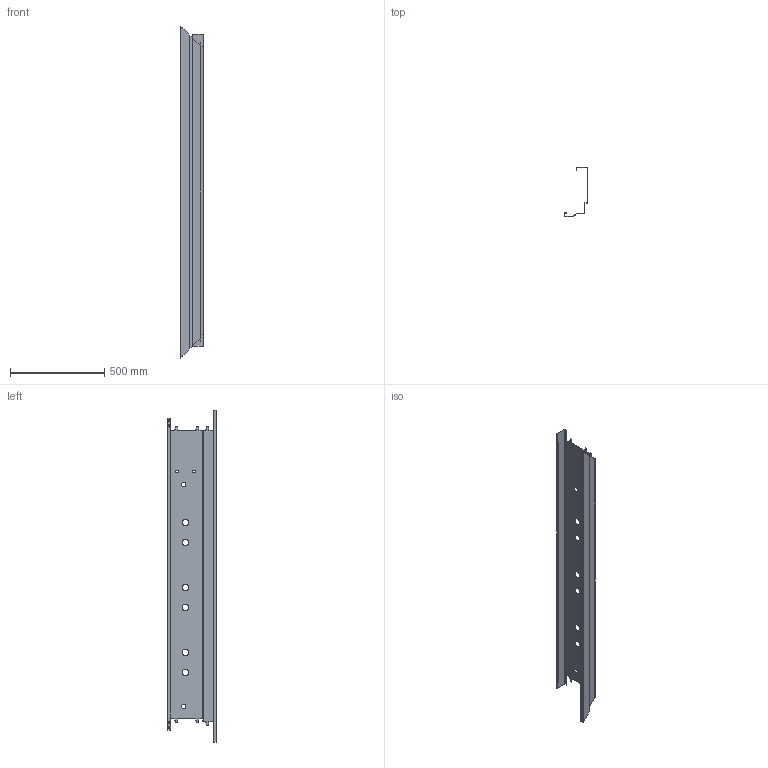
import cadquery as cq
import math

WIDTH = 123.43
DEPTH = 259.28
HEIGHT = 1763.2
SHEET = 0.6
INNER_BEND = 1.5
OUTER_BEND = INNER_BEND + SHEET

HEM_Y = 17.0
HEM_WIDTH = 13.0
BEVEL_ANGLE = math.radians(45)
FACE_WIDTH = 49.0
REBATE_Y = 15.0
BEVEL_END_X = FACE_WIDTH + REBATE_Y / math.tan(BEVEL_ANGLE)
REBATE_X = 108.0
STEP_Y = 71.5
REAR_X = 63.4
REAR_LIP_DEPTH = 16.0

TOP_Z = HEIGHT / 2
HEM_END_Z = TOP_Z - 7.0
REBATE_END_Z = TOP_Z - REBATE_X
WEB_TOP_Z = REBATE_END_Z
WEB_BOTTOM_Z = -(TOP_Z - WIDTH)
REAR_TOP_Z = 839.0
REAR_BOTTOM_Z = -(TOP_Z - REAR_X)
LIP_SETBACK = 48.0

STRIP_HOLE_DIAMETER = 8.0
STRIP_HOLE_SETBACKS = (13.5, 40.0)
STRIP_HOLE_Y = DEPTH - REAR_LIP_DEPTH / 2

TAB_LENGTH = 22.0
TAB_WIDTH = 11.0
TAB_SHOULDER = 2.5
TAB_BASE_LENGTH = 7.0
WEB_TAB_YS = (213.0, 100.5)
REBATE_TAB_Y = 47.5

LARGE_HOLE_DIAMETER = 34.0
LARGE_HOLE_Y = 164.5
PAIR_COUNT = 3
TOP_PAIR_Z = 231.0
PAIR_PITCH = 345.0
PAIR_SPACING = 106.0
FIXING_HOLE_DIAMETER = 24.0
FIXING_HOLE_Y = 174.0
FIXING_HOLE_ZS = (486.0, -693.0)
SMALL_HOLE_DIAMETER = 14.0
SMALL_HOLE_YS = (209.0, 119.0)
SMALL_HOLE_Z = 555.0


def block(x_range, y_range, z_range):
    """Box between two limits along each axis."""
    (x0, x1), (y0, y1), (z0, z1) = x_range, y_range, z_range
    return cq.Workplane("XY").box(x1 - x0, y1 - y0, z1 - z0, centered=False).translate((x0, y0, z0))


def folded_sheet():
    """The whole folded section at full height, with rounded folds."""
    bevel_shift = SHEET * math.tan(BEVEL_ANGLE / 2)
    lip_y = DEPTH - REAR_LIP_DEPTH
    folds = [
        ((0, HEM_Y), (SHEET, HEM_Y - SHEET), True),
        ((0, 0), (SHEET, SHEET), True),
        ((FACE_WIDTH, 0), (FACE_WIDTH - bevel_shift, SHEET), True),
        ((BEVEL_END_X, REBATE_Y), (BEVEL_END_X - bevel_shift, REBATE_Y + SHEET), False),
        ((REBATE_X, REBATE_Y), (REBATE_X - SHEET, REBATE_Y + SHEET), True),
        ((REBATE_X, STEP_Y), (REBATE_X - SHEET, STEP_Y + SHEET), False),
        ((WIDTH, STEP_Y), (WIDTH - SHEET, STEP_Y + SHEET), True),
        ((WIDTH, DEPTH), (WIDTH - SHEET, DEPTH - SHEET), True),
        ((REAR_X, DEPTH), (REAR_X + SHEET, DEPTH - SHEET), True),
    ]
    outside = [fold[0] for fold in folds]
    inside = [fold[1] for fold in reversed(folds)]
    hem_end = [(HEM_WIDTH, HEM_Y - SHEET), (HEM_WIDTH, HEM_Y)]
    lip_end = [(REAR_X, lip_y), (REAR_X + SHEET, lip_y)]
    outline = hem_end + outside + lip_end + inside
    sheet = cq.Workplane("XY").polyline(outline).close().extrude(TOP_Z, both=True)

    for outside_corner, inside_corner, outside_is_convex in folds:
        outside_radius, inside_radius = (
            (OUTER_BEND, INNER_BEND) if outside_is_convex else (INNER_BEND, OUTER_BEND)
        )
        for (x, y), radius in ((outside_corner, outside_radius), (inside_corner, inside_radius)):
            sheet = sheet.edges(cq.selectors.NearestToPointSelector((x, y, 0))).fillet(radius)
    return sheet


def end_trim():
    """The space that remains after the ends are mitred and cut back."""
    step_rear_y = STEP_Y + SHEET
    strip_y = DEPTH - REAR_LIP_DEPTH
    mitre_outline = [(0, -TOP_Z), (REBATE_X, -REBATE_END_Z), (REBATE_X, REBATE_END_Z), (0, TOP_Z)]
    front = cq.Workplane("XZ").polyline(mitre_outline).close().extrude(-step_rear_y)
    hem = block((SHEET, HEM_WIDTH), (HEM_Y - OUTER_BEND, HEM_Y), (-HEM_END_Z, HEM_END_Z))
    step = block((REBATE_X, WIDTH), (0, step_rear_y), (WEB_BOTTOM_Z, WEB_TOP_Z))
    web = block((0, WIDTH), (step_rear_y, strip_y), (WEB_BOTTOM_Z, WEB_TOP_Z))
    strip = block((0, WIDTH), (strip_y, DEPTH), (REAR_BOTTOM_Z, REAR_TOP_Z))
    lip_x = (REAR_X, REAR_X + OUTER_BEND)
    lip_y = (strip_y, DEPTH - OUTER_BEND)
    for z_range in (
        (REAR_TOP_Z - LIP_SETBACK, REAR_TOP_Z),
        (REAR_BOTTOM_Z, REAR_BOTTOM_Z + LIP_SETBACK),
    ):
        strip = strip.cut(block(lip_x, lip_y, z_range))
    return front.union(hem).union(step).union(web).union(strip)


def end_tab(outer_x, centre_y, end_z, direction):
    """Shouldered tab continuing a sheet beyond end_z; direction is +1 up or -1 down."""
    front_y = centre_y - TAB_WIDTH / 2
    rear_y = centre_y + TAB_WIDTH / 2
    outline = [
        (front_y - TAB_SHOULDER, 0),
        (front_y - TAB_SHOULDER, TAB_BASE_LENGTH),
        (front_y, TAB_BASE_LENGTH),
        (front_y, TAB_LENGTH),
        (rear_y, TAB_LENGTH),
        (rear_y, TAB_BASE_LENGTH),
        (rear_y + TAB_SHOULDER, TAB_BASE_LENGTH),
        (rear_y + TAB_SHOULDER, 0),
    ]
    placed = [(y, end_z + direction * rise) for y, rise in outline]
    return cq.Workplane("YZ").workplane(offset=outer_x - SHEET).polyline(placed).close().extrude(SHEET)


def web_holes(diameter, centres):
    """Cutters through the web at (y, z) centres."""
    return (
        cq.Workplane("YZ")
        .workplane(offset=WIDTH - 2 * SHEET)
        .pushPoints(centres)
        .circle(diameter / 2)
        .extrude(3 * SHEET)
    )


result = folded_sheet().intersect(end_trim())

for tab_y in WEB_TAB_YS:
    result = result.union(end_tab(WIDTH, tab_y, WEB_TOP_Z, 1))
    result = result.union(end_tab(WIDTH, tab_y, WEB_BOTTOM_Z, -1))
for direction in (1, -1):
    result = result.union(end_tab(REBATE_X, REBATE_TAB_Y, direction * REBATE_END_Z, direction))

large_centres = []
for pair in range(PAIR_COUNT):
    pair_z = TOP_PAIR_Z - pair * PAIR_PITCH
    large_centres.append((LARGE_HOLE_Y, pair_z + PAIR_SPACING / 2))
    large_centres.append((LARGE_HOLE_Y, pair_z - PAIR_SPACING / 2))
fixing_centres = [(FIXING_HOLE_Y, z) for z in FIXING_HOLE_ZS]
small_centres = [(y, SMALL_HOLE_Z) for y in SMALL_HOLE_YS]
strip_centres = []
for setback in STRIP_HOLE_SETBACKS:
    strip_centres.append((STRIP_HOLE_Y, REAR_TOP_Z - setback))
    strip_centres.append((STRIP_HOLE_Y, REAR_BOTTOM_Z + setback))
for diameter, centres in (
    (LARGE_HOLE_DIAMETER, large_centres),
    (FIXING_HOLE_DIAMETER, fixing_centres),
    (SMALL_HOLE_DIAMETER, small_centres),
    (STRIP_HOLE_DIAMETER, strip_centres),
):
    result = result.cut(web_holes(diameter, centres))